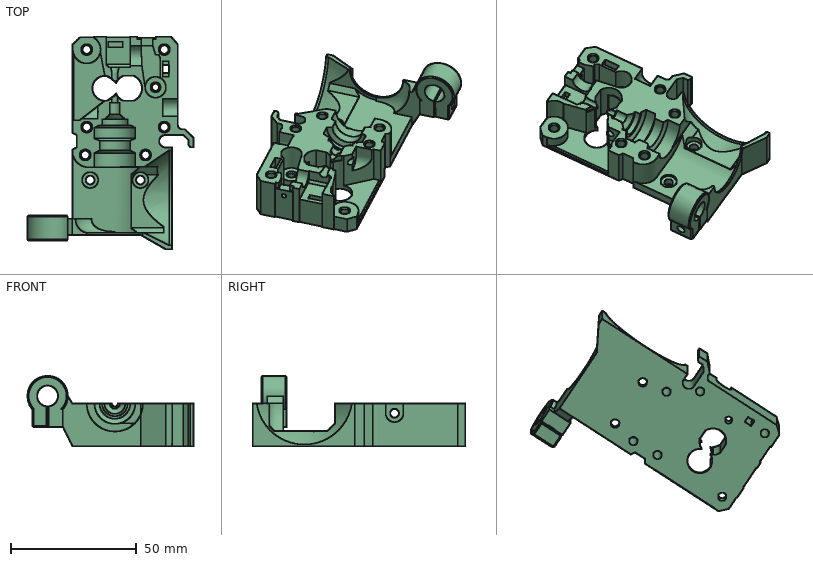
import cadquery as cq
import math

SPLIT_Z = 17.0
LEFT_X = -16.8
RIGHT_X = 25.0
FLANGE_X = 22.7
FRONT_Y = 5.75
BACK_Y = 84.5
BACK_RELIEF_Y = 84.25
OUT_X = LEFT_X - 4.2
OUT_Y = BACK_Y + 4.2

CHAMBER_BACK_Y = 32.6
CHAMBER_FLOOR_Z = 4.4
LIP_BACK_Y = 6.6
SADDLE_R = 11.15
LEDGE_X = 6.4
LEDGE_Z = 5.9

POCKET_FLOOR_Z = 1.9
GEAR_Y = 64.0
BOSS_X, BOSS_Y, BOSS_R, BOSS_Z = -11.15, 79.35, 5.5, 6.5
PIVOT_X, PIVOT_Y, PIVOT_R = 16.1, 64.4, 4.1
BLOCK_LEFT_X, BLOCK_RIGHT_X, BLOCK_FRONT_Y, BLOCK_FLOOR_Z = -3.5, 6.1, 72.4, 11.6

CLAMP_X, CLAMP_Z, CLAMP_R = -26.7, 19.9, 8.0
CLAMP_BORE_D = 8.2
CLAMP_FRONT_Y, CLAMP_BACK_Y = 3.5, 13.5


def block(x0, x1, y0, y1, z0, z1):
    """Box given by its limits."""
    return cq.Workplane("XY").box(x1 - x0, y1 - y0, z1 - z0, centered=False).translate((x0, y0, z0))


def prism(points, z0, z1):
    """Upright prism with a polygon outline."""
    return cq.Workplane("XY").workplane(offset=z0).polyline(points).close().extrude(z1 - z0)


def cylinder_z(x, y, radius, z0, z1):
    return cq.Workplane("XY", origin=(x, y, z0)).circle(radius).extrude(z1 - z0)


def cylinder_x(y, z, radius, x0, x1):
    return cq.Workplane("YZ", origin=(x0, y, z)).circle(radius).extrude(x1 - x0)


def open_bore_x(y, z, radius, x0, x1):
    """Bore along X that is open up through the joint face."""
    slot = block(x0, x1, y - radius, y + radius, z, SPLIT_Z)
    return cylinder_x(y, z, radius, x0, x1).union(slot)


def around_filament(profile):
    """Turn a closed (radius, y) profile about the filament axis."""
    flat = cq.Workplane("XY", origin=(0, 0, SPLIT_Z)).polyline(profile).close()
    return flat.revolve(360, (0, 0, 0), (0, 1, 0))


CORNER_Y = 81.4
CORNER_BACK_X0, CORNER_BACK_X1 = -13.8, 22.3
BOSS_BACK_X = -8.45
NOTCH_X = -15.2
NOTCH_BEVEL = 0.9
HOOK_X = 31.3
HOOK_TOP_Y, HOOK_LOW_Y = 45.4, 40.6
SLOT_END_X = 20.0
FLANGE_TIP_X, FLANGE_ROOT_X = 20.3, 10.2
HOOK_SLOT_R = (HOOK_TOP_Y - HOOK_LOW_Y) / 2


def body():
    outline = (
        cq.Workplane("XY")
        .moveTo(LEFT_X, FRONT_Y)
        .lineTo(LEFT_X, HOOK_LOW_Y - NOTCH_BEVEL)
        .lineTo(NOTCH_X, HOOK_LOW_Y)
        .lineTo(NOTCH_X, HOOK_TOP_Y)
        .lineTo(LEFT_X, HOOK_TOP_Y + NOTCH_BEVEL)
        .lineTo(LEFT_X, CORNER_Y)
        .lineTo(CORNER_BACK_X0, BACK_RELIEF_Y)
        .lineTo(BOSS_BACK_X, BACK_RELIEF_Y)
        .lineTo(BOSS_BACK_X + BACK_Y - BACK_RELIEF_Y, BACK_Y)
        .lineTo(BLOCK_LEFT_X, BACK_Y)
        .lineTo(BLOCK_LEFT_X, BACK_RELIEF_Y)
        .lineTo(BLOCK_RIGHT_X, BACK_RELIEF_Y)
        .lineTo(BLOCK_RIGHT_X, BACK_Y)
        .lineTo(CORNER_BACK_X1, BACK_Y)
        .lineTo(RIGHT_X, CORNER_Y)
        .lineTo(RIGHT_X, 49.4)
        .threePointArc((25.5, 48.25), (26.45, 47.75))
        .lineTo(27.7, 47.75)
        .lineTo(HOOK_X, 44.4)
        .lineTo(HOOK_X, HOOK_LOW_Y)
        .lineTo(30.0, HOOK_LOW_Y)
        .lineTo(29.15, 41.5)
        .lineTo(29.15, 43.5)
        .lineTo(27.2, HOOK_TOP_Y)
        .lineTo(SLOT_END_X, HOOK_TOP_Y)
        .threePointArc((SLOT_END_X - HOOK_SLOT_R, HOOK_LOW_Y + HOOK_SLOT_R), (SLOT_END_X, HOOK_LOW_Y))
        .lineTo(FLANGE_X, HOOK_LOW_Y)
        .lineTo(FLANGE_X, 0)
        .lineTo(FLANGE_TIP_X, 0)
        .lineTo(FLANGE_ROOT_X, FRONT_Y)
        .close()
    )
    return outline.extrude(SPLIT_Z)


LUG_HALF, LUG_Z = 6.1, 7.6
CLAMP_SLIT = 0.7
CLAMP_CHAMFER = 0.5
CLAMP_SCREW_D, CLAMP_SCREW_Z = 3.4, 11.75
ARM_BACK_Y = 12.25


def clamp():
    depth = CLAMP_BACK_Y - CLAMP_FRONT_Y
    plane = cq.Workplane("XZ", origin=(CLAMP_X, CLAMP_BACK_Y, 0))
    ring = plane.center(0, CLAMP_Z).circle(CLAMP_R).extrude(depth)
    left_lug = block(CLAMP_X - LUG_HALF, CLAMP_X, CLAMP_FRONT_Y, CLAMP_BACK_Y, LUG_Z, CLAMP_Z)
    left_lug = left_lug.edges("<X and <Z").chamfer(CLAMP_CHAMFER)
    rounded = ring.union(left_lug).faces("<Y or >Y").chamfer(CLAMP_CHAMFER)
    lug_top_z = CLAMP_Z - math.sqrt(CLAMP_R**2 - LUG_HALF**2)
    right_lug = block(CLAMP_X, CLAMP_X + LUG_HALF, CLAMP_FRONT_Y, CLAMP_BACK_Y, LUG_Z, lug_top_z)
    return rounded.union(right_lug)


def clamp_arm():
    arm_points = [
        (LEFT_X, 0), (CLAMP_X + LUG_HALF, LUG_Z), (CLAMP_X + LUG_HALF, CLAMP_Z),
        (CLAMP_X + CLAMP_R, CLAMP_Z), (LEFT_X, SPLIT_Z),
    ]
    arm = cq.Workplane("XZ", origin=(0, ARM_BACK_Y, 0)).polyline(arm_points).close()
    return arm.extrude(ARM_BACK_Y - FRONT_Y)


def clamp_cuts():
    depth = CLAMP_BACK_Y - CLAMP_FRONT_Y
    bore_start = cq.Workplane("XZ", origin=(CLAMP_X, CLAMP_BACK_Y, CLAMP_Z))
    bore = bore_start.circle(CLAMP_BORE_D / 2).extrude(depth)
    half_slit = CLAMP_SLIT / 2
    slit = block(CLAMP_X - half_slit, CLAMP_X + half_slit, CLAMP_FRONT_Y, CLAMP_BACK_Y, 0, CLAMP_Z)
    mid_y = (CLAMP_FRONT_Y + CLAMP_BACK_Y) / 2
    screw = cylinder_x(mid_y, CLAMP_SCREW_Z, CLAMP_SCREW_D / 2, CLAMP_X - CLAMP_R, CLAMP_X + LUG_HALF)
    return bore.union(slit).union(screw)


TROUGH_R = SPLIT_Z - CHAMBER_FLOOR_Z
CORNER_R = 6.3
LEDGE_BACK_Y = 32.9
LEDGE_RISE = 3.3
LIP_RISE = 2.1
LEDGE_END_X = 19.4
TROUGH_END_X = 10.65
STEP_X = 1.5
FAN_Y, FAN_Z, FAN_R = 20.5, 19.8, 19.1
MOUTH_Y, MOUTH_Z, MOUTH_R = 19.6, 18.9, 13.0
FUNNEL_X0, FUNNEL_X1 = 11.3, 21.6


def chamber_left():
    """Flat floored part left of the filament axis, with a rounded back corner."""
    floor_cut = block(LEFT_X, 0, ARM_BACK_Y, CHAMBER_BACK_Y, CHAMBER_FLOOR_Z, SPLIT_Z)
    round_x = LEFT_X + CORNER_R
    round_y = CHAMBER_BACK_Y + CORNER_R
    corner = block(LEFT_X, round_x, CHAMBER_BACK_Y, round_y, CHAMBER_FLOOR_Z, SPLIT_Z)
    rounding = cylinder_z(round_x, round_y, CORNER_R, CHAMBER_FLOOR_Z, SPLIT_Z)
    return floor_cut.union(corner.cut(rounding))


def chamber_bowl():
    """Round bowl that blends the floor into the front lip, left half only."""
    rim_r = 15.6
    bend = (14.5, 8.7)
    profile = (
        cq.Workplane("XY", origin=(0, 0, SPLIT_Z))
        .moveTo(0, LIP_BACK_Y)
        .lineTo(SADDLE_R, LIP_BACK_Y)
        .threePointArc(bend, (rim_r, ARM_BACK_Y))
        .lineTo(0, ARM_BACK_Y)
        .close()
    )
    bowl = profile.revolve(360, (0, 0, 0), (0, 1, 0))
    return bowl.intersect(block(-rim_r, 0, 0, ARM_BACK_Y, CHAMBER_FLOOR_Z, SPLIT_Z))


def chamber_right():
    """Round trough, raised ledge between two slopes, and a shallow step in the back wall."""
    trough = around_filament(
        [(0, LIP_BACK_Y), (TROUGH_R, LIP_BACK_Y), (TROUGH_R, CHAMBER_BACK_Y), (0, CHAMBER_BACK_Y)]
    )
    trough = trough.intersect(block(0, TROUGH_END_X, 0, CHAMBER_BACK_Y, 0, SPLIT_Z))
    ledge_top_z = LEDGE_Z + LEDGE_RISE
    section = [
        (LIP_BACK_Y, SPLIT_Z), (LIP_BACK_Y, LEDGE_Z + LIP_RISE), (LIP_BACK_Y + LIP_RISE, LEDGE_Z),
        (LEDGE_BACK_Y - LEDGE_RISE, LEDGE_Z), (LEDGE_BACK_Y, ledge_top_z), (LEDGE_BACK_Y, SPLIT_Z),
    ]
    ledge_start = cq.Workplane("YZ", origin=(LEDGE_X, 0, 0)).polyline(section).close()
    ledge = ledge_start.extrude(LEDGE_END_X - LEDGE_X)
    step = block(STEP_X, LEDGE_X, CHAMBER_BACK_Y, LEDGE_BACK_Y, ledge_top_z, SPLIT_Z)
    return trough.union(ledge).union(step)


def fan_funnel():
    """Slightly oblique cone that widens from the chamber to the fan opening."""
    along_x = cq.Vector(1, 0, 0)
    mouth = cq.Wire.makeCircle(MOUTH_R, cq.Vector(FUNNEL_X0, MOUTH_Y, MOUTH_Z), along_x)
    opening = cq.Wire.makeCircle(FAN_R, cq.Vector(FUNNEL_X1, FAN_Y, FAN_Z), along_x)
    funnel = cq.Workplane(obj=cq.Solid.makeLoft([mouth, opening], True))
    return funnel.union(cylinder_x(FAN_Y, FAN_Z, FAN_R, FUNNEL_X1, FLANGE_X))


def saddle():
    """Half round opening through the front lip."""
    return around_filament([(0, FRONT_Y), (SADDLE_R, FRONT_Y), (SADDLE_R, LIP_BACK_Y), (0, LIP_BACK_Y)])


FILAMENT_R, ENTRY_R = 1.2, 1.7
INSERT_R, CONE_R, COLLAR_R, NECK_R, MOUNT_R = 2.0, 4.1, 5.1, 6.1, 8.1
ENTRY_Y = 70.2
NECK_Y0, NECK_Y1 = 39.3, 43.2
MOUNT_Y0, MOUNT_Y1, MOUNT_Y2 = 38.3, 44.1, 48.25
COLLAR_Y0, COLLAR_Y1 = 49.35, 51.6
INSERT_Y0, INSERT_Y1 = 53.6, 58.2


def filament_bore():
    """Stepped bore: two wide mount grooves, neck, collar, cone, insert and filament hole."""
    return around_filament([
        (0, CHAMBER_BACK_Y), (MOUNT_R, CHAMBER_BACK_Y), (MOUNT_R, MOUNT_Y0),
        (NECK_R, NECK_Y0), (NECK_R, NECK_Y1),
        (MOUNT_R, MOUNT_Y1), (MOUNT_R, MOUNT_Y2),
        (NECK_R, COLLAR_Y0), (COLLAR_R, COLLAR_Y0), (COLLAR_R, COLLAR_Y1),
        (CONE_R, COLLAR_Y1), (INSERT_R, INSERT_Y0), (INSERT_R, INSERT_Y1),
        (FILAMENT_R, INSERT_Y1), (FILAMENT_R, ENTRY_Y), (ENTRY_R, BLOCK_FRONT_Y), (0, BLOCK_FRONT_Y),
    ])


LEFT_GEAR_X, LEFT_GEAR_R = -4.0, 4.9
RIGHT_GEAR_X, RIGHT_GEAR_R = 5.4, 5.3
GAP_TOP_Z = 14.5
GAP_HALF = 3.0
GAP_END_X, GAP_END_Z = 10.9, 11.9
LIP_POINTS = [(-3.3, LEFT_GEAR_R), (-1.3, 3.7), (1.0, 1.7)]


def gear_openings():
    left = cylinder_z(LEFT_GEAR_X, GEAR_Y, LEFT_GEAR_R, 0, SPLIT_Z)
    back_lip = [(x, GEAR_Y + offset) for x, offset in LIP_POINTS]
    front_lip = [(x, GEAR_Y - offset) for x, offset in reversed(LIP_POINTS)]
    outer = [(OUT_X, GEAR_Y - LEFT_GEAR_R), (OUT_X, GEAR_Y + LEFT_GEAR_R)]
    left_top = left.intersect(prism(back_lip + front_lip + outer, GAP_TOP_Z, SPLIT_Z))
    left_low = cylinder_z(LEFT_GEAR_X, GEAR_Y, LEFT_GEAR_R, 0, GAP_TOP_Z)
    right = cylinder_z(RIGHT_GEAR_X, GEAR_Y, RIGHT_GEAR_R, 0, SPLIT_Z)
    flats = block(0, RIGHT_X, GEAR_Y - LEFT_GEAR_R, GEAR_Y + LEFT_GEAR_R, 0, SPLIT_Z)
    gap_y0 = GEAR_Y - GAP_HALF
    gap_y1 = GEAR_Y + GAP_HALF
    gap = block(LEFT_GEAR_X, RIGHT_GEAR_X, gap_y0, gap_y1, POCKET_FLOOR_Z, GAP_TOP_Z)
    low_end = block(RIGHT_GEAR_X, GAP_END_X, gap_y0, gap_y1, POCKET_FLOOR_Z, GAP_END_Z)
    return left_low.union(left_top).union(right.intersect(flats)).union(gap).union(low_end)


POCKET_FRONT_Y = 51.3
POCKET_CORNER_X = -13.95
WALL_TOUCH = (-5.75, 78.2)
EDGE_BEVEL = 0.6


def left_pocket():
    outline = [
        (OUT_X, POCKET_FRONT_Y), (POCKET_CORNER_X, POCKET_FRONT_Y), (LEFT_GEAR_X, GEAR_Y - LEFT_GEAR_R),
        (LEFT_GEAR_X, GEAR_Y + LEFT_GEAR_R), WALL_TOUCH, (BOSS_X, BOSS_Y), (OUT_X, BOSS_Y),
    ]
    corner = [
        (OUT_X, BOSS_Y), (BOSS_X + BOSS_R, BOSS_Y), (BOSS_BACK_X, BACK_RELIEF_Y), (BOSS_BACK_X, OUT_Y),
        (OUT_X, OUT_Y),
    ]
    boss = cylinder_z(BOSS_X, BOSS_Y, BOSS_R, 0, BOSS_Z)
    round_wall = cylinder_z(BOSS_X, BOSS_Y, BOSS_R, BOSS_Z, SPLIT_Z)
    low = prism(outline, POCKET_FLOOR_Z, SPLIT_Z).cut(boss)
    bevel = (
        cq.Workplane("XZ", origin=(LEFT_X, BOSS_Y, POCKET_FLOOR_Z))
        .polyline([(0, 0), (EDGE_BEVEL, 0), (0, -EDGE_BEVEL)])
        .close()
        .extrude(BOSS_Y - POCKET_FRONT_Y)
    )
    return low.union(prism(corner, BOSS_Z, SPLIT_Z)).union(round_wall).union(bevel.cut(boss))


CROSS_Y, CROSS_Z = 56.4, 13.1
CROSS_D, CROSS_HEAD_D, CROSS_RECESS_D = 3.4, 7.0, 9.1
CROSS_HEAD_X, CROSS_RECESS_X = 19.1, -6.8


def cross_screw():
    hole = cylinder_x(CROSS_Y, CROSS_Z, CROSS_D / 2, LEFT_X, RIGHT_X)
    head = open_bore_x(CROSS_Y, CROSS_Z, CROSS_HEAD_D / 2, CROSS_HEAD_X, RIGHT_X)
    recess = open_bore_x(CROSS_Y, CROSS_Z, CROSS_RECESS_D / 2, POCKET_CORNER_X, CROSS_RECESS_X)
    return hole.union(head).union(recess)


TAB_X0, TAB_X1, TAB_FRONT_Y, TAB_Z = 10.4, 15.0, 80.8, 14.4
NOTCH_X0, NOTCH_X1, NOTCH_FRONT_Y, NOTCH_BACK_Y = 8.8, 16.3, 83.5, 84.1
PIN_D, PIN_Z = 1.8, 11.5
SCOOP_Y, SCOOP_R = 76.8, 4.0
LEVER_LEFT_X, LEVER_RIGHT_X = 10.7, 18.1
SEAT_BEVEL = 1.0
LEAD_X0, LEAD_X1, LEAD_Y0, LEAD_Y1, LEAD_DEPTH = -2.7, 3.0, 80.4, 82.5, 2.5
SLOT_X0, SLOT_X1 = 19.1, 21.5
SLOT_Y0, SLOT_Y1 = 68.6, 74.8
SLOT_THROUGH_Y0, SLOT_THROUGH_Y1 = 70.1, 73.2


def lever_pocket():
    outline = [
        (PIVOT_X - PIVOT_R, PIVOT_Y), (PIVOT_X, PIVOT_Y), (LEVER_RIGHT_X, PIVOT_Y),
        (LEVER_RIGHT_X, 75.7), (17.4, 77.2), (PIVOT_X, 77.2),
        (TAB_X1, TAB_FRONT_Y), (TAB_X0, TAB_FRONT_Y), (LEVER_LEFT_X, SCOOP_Y - SCOOP_R),
    ]
    pocket = prism(outline, POCKET_FLOOR_Z, SPLIT_Z)
    pivot_boss = cylinder_z(PIVOT_X, PIVOT_Y, PIVOT_R, POCKET_FLOOR_Z, BOSS_Z)
    pivot = cylinder_z(PIVOT_X, PIVOT_Y, PIVOT_R, BOSS_Z, SPLIT_Z)
    above_tab = block(TAB_X0, TAB_X1, TAB_FRONT_Y, BACK_Y, TAB_Z, SPLIT_Z)
    back_relief = block(NOTCH_X0, NOTCH_X1, NOTCH_BACK_Y, BACK_Y, 0, SPLIT_Z)
    back_notch = block(NOTCH_X0, NOTCH_X1, NOTCH_FRONT_Y, BACK_Y, TAB_Z, SPLIT_Z)
    tab_mid_x = (TAB_X0 + TAB_X1) / 2
    pin_start = cq.Workplane("XZ", origin=(tab_mid_x, BACK_Y, PIN_Z))
    pin_hole = pin_start.circle(PIN_D / 2).extrude(BACK_Y - TAB_FRONT_Y)
    opening = pocket.cut(pivot_boss).union(pivot).union(above_tab)
    return opening.union(back_relief).union(back_notch).union(pin_hole)


def lever_scoop():
    """Half round channel between the sensor block and the lever pocket."""
    return cylinder_x(SCOOP_Y, SPLIT_Z, SCOOP_R, BLOCK_RIGHT_X, LEVER_LEFT_X)


def sensor_block():
    """Seat with a bevelled front, and a small slot in its floor."""
    outline = [
        (BLOCK_LEFT_X, BACK_Y), (BLOCK_LEFT_X, BLOCK_FRONT_Y + SEAT_BEVEL),
        (BLOCK_LEFT_X + SEAT_BEVEL, BLOCK_FRONT_Y), (BLOCK_RIGHT_X, BLOCK_FRONT_Y), (BLOCK_RIGHT_X, BACK_Y),
    ]
    seat = prism(outline, BLOCK_FLOOR_Z, SPLIT_Z)
    seat = seat.faces("<Z").edges("<Y").chamfer(SEAT_BEVEL)
    lead_slot = block(LEAD_X0, LEAD_X1, LEAD_Y0, LEAD_Y1, BLOCK_FLOOR_Z - LEAD_DEPTH, BLOCK_FLOOR_Z)
    return seat.union(lead_slot)


def side_slot():
    """Stepped slot beside the lever pocket."""
    wide = block(SLOT_X0, SLOT_X1, SLOT_Y0, SLOT_Y1, SPLIT_Z / 2, SPLIT_Z)
    through = block(SLOT_X0, SLOT_X1, SLOT_THROUGH_Y0, SLOT_THROUGH_Y1, 0, SPLIT_Z)
    return wide.union(through)


JOINT_SCREW_D, JOINT_MOUTH_D = 3.3, 4.4
RIGHT_SCREW_X, MIDDLE_SCREW_Y, FRONT_SCREW_Y = 19.6, 48.6, 37.5
JOINT_SCREWS = [
    (BOSS_X, BOSS_Y, BOSS_Z), (RIGHT_SCREW_X, BOSS_Y, SPLIT_Z),
    (BOSS_X, MIDDLE_SCREW_Y, SPLIT_Z), (RIGHT_SCREW_X, MIDDLE_SCREW_Y, SPLIT_Z),
    (-11.75, FRONT_SCREW_Y, SPLIT_Z), (12.2, FRONT_SCREW_Y, SPLIT_Z),
]
PIVOT_SCREW_D, PIVOT_MOUTH_D = 2.8, 4.0
MOUNT_SCREW_D, MOUNT_HEAD_D, MOUNT_SEAT_Z = 3.4, 6.3, 3.4
MOUNT_SCREWS = [(-9.8, 27.55), (10.1, 27.55)]


def countersunk(x, y, top, diameter, mouth):
    """Through hole with a 45 degree bevel at its mouth."""
    depth = (mouth - diameter) / 2
    bevel = cq.Solid.makeCone(diameter / 2, mouth / 2, depth, cq.Vector(x, y, top - depth))
    return cylinder_z(x, y, diameter / 2, 0, top).union(cq.Workplane(obj=bevel))


result = body().union(clamp()).union(clamp_arm())
for cut in (
    clamp_cuts(), chamber_left(), chamber_bowl(), chamber_right(), fan_funnel(), saddle(), filament_bore(),
    gear_openings(), left_pocket(), cross_screw(), lever_pocket(), lever_scoop(), sensor_block(), side_slot(),
):
    result = result.cut(cut)
for x, y, top in JOINT_SCREWS:
    result = result.cut(countersunk(x, y, top, JOINT_SCREW_D, JOINT_MOUTH_D))
result = result.cut(countersunk(PIVOT_X, PIVOT_Y, BOSS_Z, PIVOT_SCREW_D, PIVOT_MOUTH_D))
for x, y in MOUNT_SCREWS:
    result = result.cut(cylinder_z(x, y, MOUNT_SCREW_D / 2, 0, SPLIT_Z))
    result = result.cut(cylinder_z(x, y, MOUNT_HEAD_D / 2, MOUNT_SEAT_Z, SPLIT_Z))